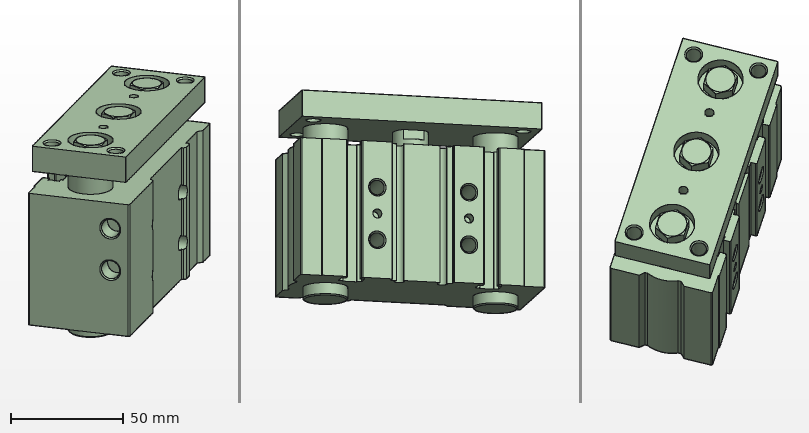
import cadquery as cq
import math

X_AXIS = (1, 0, 0)
Y_AXIS = (0, 1, 0)
UP = (0, 0, 1)
TO_PAD_SIDE = (-1, 0, 0)
TO_NEAR_END = (0, -1, 0)

ROD_BOTTOM = 0.0
HOUSING_BOTTOM = 5.6
HOUSING_TOP = 68.0
PLATE_BOTTOM = 78.1
PLATE_TOP = 90.0
HOUSING_HEIGHT = HOUSING_TOP - HOUSING_BOTTOM
PLATE_THICKNESS = PLATE_TOP - PLATE_BOTTOM

HOUSING_WIDTH = 48.0
HOUSING_LENGTH = 112.0
PAD_FACE = -HOUSING_WIDTH / 2
BACK_FACE = HOUSING_WIDTH / 2
END_FACE = HOUSING_LENGTH / 2
PAD_HEIGHT = 0.6
PAD_EDGE_RUN = 0.3
BASE_FACE = PAD_FACE + PAD_HEIGHT
CORNER_CHAMFER = 0.6
PAD_OUTER_EDGE = 46.1
CHANNEL_DEPTH = 2.8
ISLAND_DEPTH = 2.0
CHANNEL_HALF_WIDTH = 14.0

SLOT_Y = 31.4
SLOT_NECK_WIDTH = 6.5
SLOT_MOUTH_CHAMFER = 0.6
SLOT_NECK_DEPTH = 3.4
SLOT_HEAD_WIDTH = 10.5
SLOT_HEAD_DEPTH = 8.6
SLOT_DEPTH = 9.6

GROOVE_Y = 9.9
GROOVE_MOUTH_WIDTH = 3.2
GROOVE_DIAMETER = 4.5
GROOVE_DEPTH = 6.8

RECESS_DEPTH = 2.0
BACK_RECESS_EDGES = (-23.0, 45.9)
BACK_RIB_EDGES = (21.8, 28.5)
BACK_RIB_CHAMFER = 1.0
END_RECESS_HALF_WIDTH = 10.4
END_BULGE_RADIUS = 16.6

MOUNT_HOLE_SPREAD = 42.0
MOUNT_HOLE_Y = MOUNT_HOLE_SPREAD / 2
MOUNT_HOLE_SPACING = 24.0
MOUNT_MIDDLE_Z = 35.0
TAP_DIAMETER = 6.6
TAP_CHAMFER = 0.7
PIN_DIAMETER = 4.0
PIN_HOLE_DEPTH = 6.0
PORT_X = 15.0
PORT_HEIGHTS = [36.1, 55.7]
PORT_DIAMETER = 8.5
PORT_CHAMFER = 0.62
PORT_DEPTH = 9.0

GUIDE_Y = 39.0
GUIDE_DIAMETER = 20.0
GUIDE_END_CHAMFER = 0.6
PISTON_ROD_DIAMETER = 16.0
PISTON_ROD_INSERTION = 28.0
PISTON_ROD_BOTTOM = HOUSING_TOP - PISTON_ROD_INSERTION
WRENCH_FLAT_WIDTH = 13.0
WRENCH_FLAT_HEIGHT = 4.4

PLATE_WIDTH = 44.0
PLATE_LENGTH = 109.9
PLATE_CORNER_CHAMFER = 0.2
PLATE_HOLE_X = 15.0
PLATE_HOLE_Y = 48.0
COUNTERBORE_DIAMETER = 20.0
COUNTERBORE_DEPTH = 6.0
HEX_ACROSS_FLATS = 13.3
HEX_TOP_DIAMETER = 13.0
HEX_CORNER_ANGLE = 20.0


def tapped_hole(origin, x_direction, normal, diameter, chamfer, depth):
    """Cutter with a countersunk mouth at the origin, running into the material against the normal."""
    radius = diameter / 2
    profile = [(0, 0), (radius + chamfer, 0), (radius, -chamfer), (radius, -depth), (0, -depth)]
    cutter = cq.Workplane("XZ").polyline(profile).close().revolve(360, (0, 0, 0), (0, 1, 0))
    mouth = cq.Plane(origin, x_direction, normal)
    return cq.Workplane(cutter.val().moved(cq.Location(mouth)))


def housing_prism(points):
    """Vertical bar through the full housing height with the given XY outline."""
    return (
        cq.Workplane("XY").workplane(offset=HOUSING_BOTTOM)
        .polyline(points).close().extrude(HOUSING_HEIGHT)
    )


def vertical_cylinder(x, y, diameter, bottom, top):
    return cq.Workplane("XY", origin=(x, y, bottom)).circle(diameter / 2).extrude(top - bottom)


def pad_strip(side):
    """Raised strip on one half (side = 1 or -1), which the T-slot later divides into two pads."""
    inner = CHANNEL_HALF_WIDTH
    outer = PAD_OUTER_EDGE
    return housing_prism([
        (BASE_FACE, side * (outer + PAD_EDGE_RUN)), (PAD_FACE, side * outer),
        (PAD_FACE, side * (inner + PAD_EDGE_RUN)), (BASE_FACE, side * inner),
    ])


def t_slot(y):
    mouth = SLOT_NECK_WIDTH / 2 + SLOT_MOUTH_CHAMFER
    neck = SLOT_NECK_WIDTH / 2
    head = SLOT_HEAD_WIDTH / 2
    half = [
        (PAD_FACE, mouth),
        (PAD_FACE + SLOT_MOUTH_CHAMFER, neck),
        (PAD_FACE + SLOT_NECK_DEPTH, neck),
        (PAD_FACE + SLOT_NECK_DEPTH, head),
        (PAD_FACE + SLOT_HEAD_DEPTH, head),
        (PAD_FACE + SLOT_HEAD_DEPTH, neck),
        (PAD_FACE + SLOT_DEPTH, neck),
    ]
    upper = [(px, y + py) for px, py in half]
    lower = [(px, y - py) for px, py in reversed(half)]
    return housing_prism(upper + lower)


def sensor_groove(y):
    half_mouth = GROOVE_MOUTH_WIDTH / 2
    axis_x = PAD_FACE + GROOVE_DEPTH - GROOVE_DIAMETER / 2
    mouth = housing_prism([
        (PAD_FACE, y - half_mouth), (axis_x, y - half_mouth),
        (axis_x, y + half_mouth), (PAD_FACE, y + half_mouth),
    ])
    return mouth.union(vertical_cylinder(axis_x, y, GROOVE_DIAMETER, HOUSING_BOTTOM, HOUSING_TOP))


def channel():
    """Channel between the pads, leaving the island between the two grooves standing higher."""
    floor = PAD_FACE + CHANNEL_DEPTH
    island = PAD_FACE + ISLAND_DEPTH
    half = [
        (PAD_FACE, CHANNEL_HALF_WIDTH), (floor, CHANNEL_HALF_WIDTH),
        (floor, GROOVE_Y), (island, GROOVE_Y),
    ]
    return housing_prism(half + [(x, -y) for x, y in reversed(half)])


def back_recess():
    """Wide recess with 45 degree ends, divided by a straight rib with chamfered corners."""
    floor = BACK_FACE - RECESS_DEPTH
    low, high = BACK_RECESS_EDGES
    rib_low, rib_high = BACK_RIB_EDGES
    shoulder = BACK_FACE - BACK_RIB_CHAMFER
    recess = housing_prism([
        (BACK_FACE, low), (floor, low + RECESS_DEPTH),
        (floor, high - RECESS_DEPTH), (BACK_FACE, high),
    ])
    rib = housing_prism([
        (floor, rib_low), (shoulder, rib_low), (BACK_FACE, rib_low + BACK_RIB_CHAMFER),
        (BACK_FACE, rib_high - BACK_RIB_CHAMFER), (shoulder, rib_high), (floor, rib_high),
    ])
    return recess.cut(rib)


def end_recess():
    floor = END_FACE - RECESS_DEPTH
    floor_half = END_RECESS_HALF_WIDTH - RECESS_DEPTH
    recess = housing_prism([
        (-END_RECESS_HALF_WIDTH, END_FACE), (-floor_half, floor),
        (floor_half, floor), (END_RECESS_HALF_WIDTH, END_FACE),
    ])
    bulge = vertical_cylinder(0, GUIDE_Y, 2 * END_BULGE_RADIUS, HOUSING_BOTTOM, HOUSING_TOP)
    return recess.cut(bulge)


def make_housing():
    body = (
        cq.Workplane("XY", origin=((BASE_FACE + BACK_FACE) / 2, 0, HOUSING_BOTTOM))
        .rect(BACK_FACE - BASE_FACE, HOUSING_LENGTH).extrude(HOUSING_HEIGHT)
        .edges("|Z").chamfer(CORNER_CHAMFER)
    )

    for side in (1, -1):
        body = body.union(pad_strip(side))
    body = body.cut(channel())
    for side in (1, -1):
        body = body.cut(t_slot(side * SLOT_Y))
        body = body.cut(sensor_groove(side * GROOVE_Y))

    body = body.cut(back_recess())
    body = body.cut(end_recess())

    for side in (1, -1):
        body = body.cut(vertical_cylinder(0, side * GUIDE_Y, GUIDE_DIAMETER, HOUSING_BOTTOM, HOUSING_TOP))
    body = body.cut(vertical_cylinder(0, 0, PISTON_ROD_DIAMETER, PISTON_ROD_BOTTOM, HOUSING_TOP))

    for side in (1, -1):
        y = side * MOUNT_HOLE_Y
        for end in (1, -1):
            mouth = (PAD_FACE, y, MOUNT_MIDDLE_Z + end * MOUNT_HOLE_SPACING / 2)
            hole = tapped_hole(mouth, Y_AXIS, TO_PAD_SIDE, TAP_DIAMETER, TAP_CHAMFER, HOUSING_WIDTH)
            body = body.cut(hole)
        pin_plane = cq.Plane((PAD_FACE, y, MOUNT_MIDDLE_Z), Y_AXIS, TO_PAD_SIDE)
        body = body.cut(cq.Workplane(pin_plane).circle(PIN_DIAMETER / 2).extrude(-PIN_HOLE_DEPTH))

    for z in PORT_HEIGHTS:
        mouth = (PORT_X, -END_FACE, z)
        body = body.cut(tapped_hole(mouth, X_AXIS, TO_NEAR_END, PORT_DIAMETER, PORT_CHAMFER, PORT_DEPTH))
    return body


def hex_head(y):
    """Screw head standing in its counterbore, corners along Y, top corners trimmed by a cone."""
    bottom = PLATE_TOP - COUNTERBORE_DEPTH
    corner_radius = HEX_ACROSS_FLATS / 2 / math.cos(math.pi / 6)
    head = (
        cq.Workplane("XY", origin=(0, y, bottom)).transformed(rotate=(0, 0, 90))
        .polygon(6, 2 * corner_radius).extrude(COUNTERBORE_DEPTH)
    )
    top_radius = HEX_TOP_DIAMETER / 2
    cone_spread = COUNTERBORE_DEPTH / math.tan(math.radians(HEX_CORNER_ANGLE))
    cone = cq.Workplane(cq.Solid.makeCone(
        top_radius + cone_spread, top_radius, COUNTERBORE_DEPTH, cq.Vector(0, y, bottom)
    ))
    return head.intersect(cone)


def make_piston_rod():
    rod = vertical_cylinder(0, 0, PISTON_ROD_DIAMETER, PISTON_ROD_BOTTOM, PLATE_BOTTOM)
    flat_zone = cq.Workplane("XY", origin=(0, 0, PLATE_BOTTOM))
    around = flat_zone.circle(PISTON_ROD_DIAMETER).extrude(-WRENCH_FLAT_HEIGHT)
    between_flats = flat_zone.rect(WRENCH_FLAT_WIDTH, 2 * PISTON_ROD_DIAMETER).extrude(-WRENCH_FLAT_HEIGHT)
    flats = around.cut(between_flats)
    return rod.cut(flats)


def make_carriage():
    plate = (
        cq.Workplane("XY", origin=(0, 0, PLATE_BOTTOM))
        .rect(PLATE_WIDTH, PLATE_LENGTH).extrude(PLATE_THICKNESS)
        .edges("|Z").chamfer(PLATE_CORNER_CHAMFER)
    )
    for x in (PLATE_HOLE_X, -PLATE_HOLE_X):
        for y in (PLATE_HOLE_Y, -PLATE_HOLE_Y):
            hole = tapped_hole((x, y, PLATE_TOP), X_AXIS, UP, TAP_DIAMETER, TAP_CHAMFER, PLATE_THICKNESS)
            plate = plate.cut(hole)
    for side in (1, -1):
        y = side * MOUNT_HOLE_Y
        plate = plate.cut(vertical_cylinder(0, y, PIN_DIAMETER, PLATE_TOP - PIN_HOLE_DEPTH, PLATE_TOP))
    for y in (GUIDE_Y, 0, -GUIDE_Y):
        floor = PLATE_TOP - COUNTERBORE_DEPTH
        plate = plate.cut(vertical_cylinder(0, y, COUNTERBORE_DIAMETER, floor, PLATE_TOP))
        plate = plate.union(hex_head(y))
    for side in (1, -1):
        rod = vertical_cylinder(0, side * GUIDE_Y, GUIDE_DIAMETER, ROD_BOTTOM, PLATE_BOTTOM)
        plate = plate.union(rod.faces("<Z").chamfer(GUIDE_END_CHAMFER))
    return plate.union(make_piston_rod())


housing = make_housing()
carriage = make_carriage()
result = cq.Compound.makeCompound([housing.val(), carriage.val()])